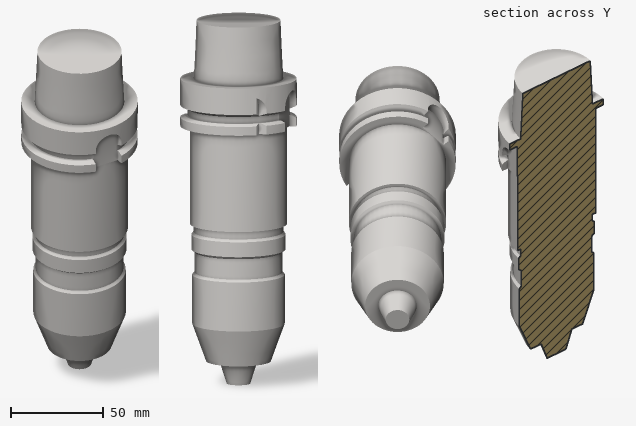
import cadquery as cq

total_height = 199.5

tip_end_radius = 6.4
tip_base_radius = 10.4
cone_end_radius = 17.5
lower_body_radius = 50.0 / 2
cone_bottom_z = 12.4
cone_top_z = 33.0
lower_body_top_z = 61.2

lower_neck_radius = 47.5 / 2
ring_radius = 51.0 / 2
ring_bottom_z = 72.5
ring_top_z = 83.4
upper_neck_radius = 48.5 / 2
shaft_radius = 52.7 / 2
shaft_bottom_z = 87.8
edge_chamfer_height = 1.4

flange_radius = 63.0 / 2
flange_bottom_z = 141.6
flange_top_z = 167.5
groove_radius = 27.5
groove_bottom_z = 147.6
groove_top_z = 151.2
groove_lower_rim_z = 146.5
groove_upper_rim_z = 153.0
groove_lower_mouth_radius = 29.1

shank_base_radius = 48.5 / 2
shank_end_radius = 22.7

slot_width = 16.2
slot_top_z = 163.0
drive_slot_floor_x = 26.5
side_slot_floor_x = 20.1
side_slot_center_y = 28.1


def make_body():
    """Revolve the stepped half profile about Z."""
    profile = [
        (0, 0),
        (tip_end_radius, 0),
        (tip_base_radius, cone_bottom_z),
        (cone_end_radius, cone_bottom_z),
        (lower_body_radius, cone_top_z),
        (lower_body_radius, lower_body_top_z - edge_chamfer_height),
        (lower_neck_radius, lower_body_top_z),
        (lower_neck_radius, ring_bottom_z),
        (ring_radius, ring_bottom_z + edge_chamfer_height),
        (ring_radius, ring_top_z - edge_chamfer_height),
        (upper_neck_radius, ring_top_z),
        (upper_neck_radius, shaft_bottom_z),
        (shaft_radius, shaft_bottom_z),
        (shaft_radius, flange_bottom_z),
        (flange_radius, flange_bottom_z),
        (flange_radius, groove_lower_rim_z),
        (groove_lower_mouth_radius, groove_bottom_z),
        (groove_radius, groove_bottom_z),
        (groove_radius, groove_top_z),
        (flange_radius, groove_upper_rim_z),
        (flange_radius, flange_top_z),
        (shank_base_radius, flange_top_z),
        (shank_end_radius, total_height),
        (0, total_height),
    ]
    return cq.Workplane("XZ").polyline(profile).close().revolve(360, (0, 0), (0, 1))


def make_slot_cutter(inner_x, outer_x, center_y):
    """Round-topped slot, open at the flange underside, between two X positions."""
    half_width = slot_width / 2
    spring_z = slot_top_z - half_width
    return (
        cq.Workplane("YZ", origin=(inner_x, center_y, 0))
        .moveTo(-half_width, flange_bottom_z)
        .lineTo(half_width, flange_bottom_z)
        .lineTo(half_width, spring_z)
        .threePointArc((0, slot_top_z), (-half_width, spring_z))
        .close()
        .extrude(outer_x - inner_x)
    )


result = make_body()

for side in (-1, 1):
    result = result.cut(make_slot_cutter(side * drive_slot_floor_x, side * flange_radius, 0))

result = result.cut(make_slot_cutter(-side_slot_floor_x, -flange_radius, side_slot_center_y))